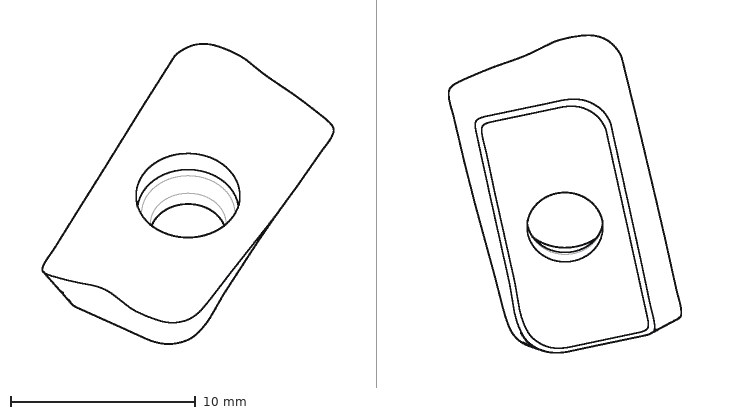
import cadquery as cq
import math

top_z = 4.74
foot_z = 0.16
rim_z = 3.59
foot_inset = 1.8
foot_half_x = 21.4
foot_half_y = 41.2

bore_r = 4.1 / 2
rim_r = 2.81
seat_r = 2.74
seat_z = 2.23
throat_r = 2.53
throat_z = 1.98
bore_z = 1.02
seat_bulge = 0.09
inner_ring_r = 2.65

stations = [
    ((-4.77, 6.9, top_z), (-3.76, 5.3)),
    ((-4.79, 4.24, 4.4), (-3.71, 3.18)),
    ((-4.8, 2.25, 4.12), (-3.65, 1.41)),
    ((-4.8, 0, 3.78), (-3.6, -0.62)),
    ((-4.77, -4.24, 3.35), (-3.5, -4.24)),
    ((-4.74, -6.71, 3.2), (-3.45, -6.1)),
    ((-4.72, -7.56, 3.18), (-3.41, -6.82)),
    ((-4.56, -7.99, 3.23), (-3.29, -7.14)),
    ((-4.17, -8.16, 3.37), (-3.0, -7.26)),
    ((-3.53, -8.23, 3.6), (-2.47, -7.28)),
    ((-2.3, -8.3, 4.06), (-1.59, -7.28)),
    ((-0.45, -8.34, 4.65), (-0.27, -7.28)),
    ((0.45, -8.53, 4.68), (0.35, -7.28)),
    ((1.43, -8.8, 4.7), (1.06, -7.28)),
    ((2.83, -8.82, top_z), (1.85, -7.26)),
    ((3.68, -8.62, top_z), (2.62, -7.05)),
    ((4.28, -8.18, top_z), (3.15, -6.66)),
    ((4.63, -7.58, top_z), (3.55, -6.11)),
]


def half_turn(point):
    return (-point[0], -point[1], *point[2:])


def full_loop(half):
    return half + [half_turn(p) for p in half]


def loop_parameters(upper, lower):
    """Spline parameters spaced by the mean step of two closed point loops."""
    parameters = [0.0]
    for i in range(len(upper)):
        j = (i + 1) % len(upper)
        step = (math.dist(upper[i], upper[j]) + math.dist(lower[i], lower[j])) / 0.35
        parameters.append(parameters[-1] + step)
    return parameters


def closed_spline(points, parameters):
    vectors = [cq.Vector(*p) for p in points]
    return cq.Edge.makeSpline(vectors, periodic=True, parameters=parameters)


def foot_loop(z, inset):
    """Foot outline at height z, drawn in by inset on every side."""
    scale_x = 1 - inset / foot_half_x
    scale_y = 1 - inset / foot_half_y
    return full_loop([(x * scale_x, y * scale_y, z) for _, (x, y) in stations])


def ring_point(edge_point):
    """Point of the inner ring straight in from a cutting-edge point."""
    reach = math.hypot(edge_point[0], edge_point[1])
    return (edge_point[0] * inner_ring_r / reach, edge_point[1] * inner_ring_r / reach, rim_z)


def make_body():
    """Closed skin: ruled top face, flanks and bottom bevel, with flat caps at both ends."""
    edge_points = full_loop([edge for edge, _ in stations])
    ring_points = full_loop([ring_point(edge) for edge, _ in stations])
    foot_points = foot_loop(foot_z, 0)
    parameters = loop_parameters(edge_points, foot_points)
    loops = [
        closed_spline(points, parameters)
        for points in (ring_points, edge_points, foot_points, foot_loop(0, foot_inset))
    ]
    faces = [cq.Face.makeRuledSurface(upper, lower) for upper, lower in zip(loops, loops[1:])]
    for cap in (loops[0], loops[-1]):
        faces.append(cq.Face.makeFromWires(cq.Wire.assembleEdges([cap])))
    return cq.Workplane(cq.Solid.makeSolid(cq.Shell.makeShell(faces)).fix())


def make_screw_hole():
    """Tapered head recess, rounded seat and through bore, revolved about Z."""
    seat_mid = ((throat_r + bore_r) / 2 - seat_bulge, (throat_z + bore_z) / 2 + seat_bulge)
    return (
        cq.Workplane("XZ")
        .lineTo(bore_r, 0)
        .lineTo(bore_r, bore_z)
        .threePointArc(seat_mid, (throat_r, throat_z))
        .lineTo(seat_r, seat_z)
        .lineTo(rim_r, rim_z)
        .lineTo(rim_r, top_z)
        .lineTo(0, top_z)
        .close()
        .revolve(360, (0, 0, 0), (0, 1, 0))
    )


result = make_body().cut(make_screw_hole())